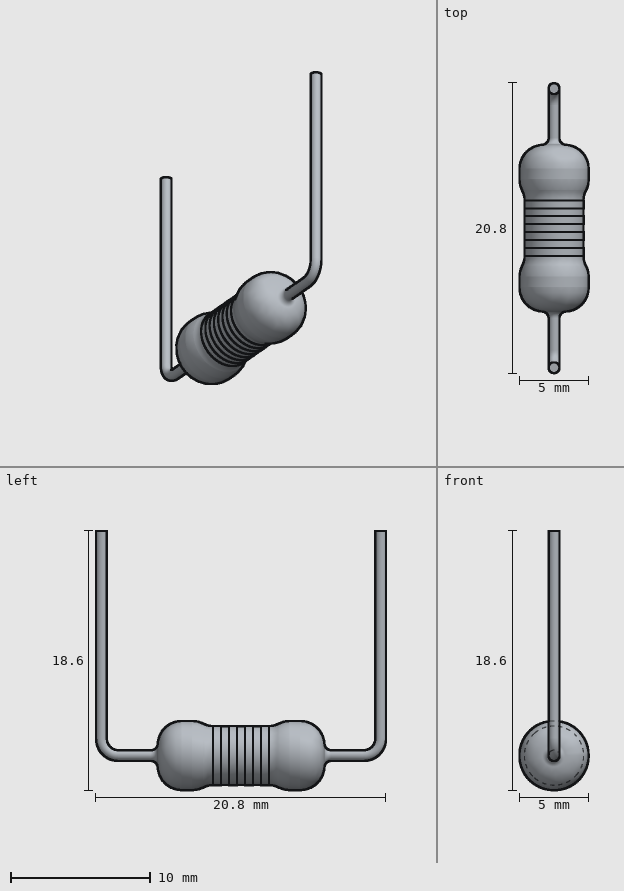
import cadquery as cq
import math

overall_length = 20.8
overall_height = 18.6

cap_radius = 2.5
waist_radius = 2.12
band_radius = 4.26 / 2
dome_radius = 1.75
dome_start = 4.25
shoulder_start = 3.5
shoulder_middle = 2.7

band_count = 4
waist_half_length = 2.0
band_width = 2 * waist_half_length / (2 * band_count - 1)
band_pitch = 2 * band_width
cap_joint = waist_half_length - band_width / 2

lead_radius = 0.4
bend_radius = 1.2
root_fillet = 0.45
lead_y = overall_length / 2 - lead_radius
lead_top = overall_height - cap_radius

dome_center_radius = cap_radius - dome_radius
fillet_center_radius = lead_radius + root_fillet
center_distance = dome_radius + root_fillet
center_rise = fillet_center_radius - dome_center_radius
center_run = math.sqrt(center_distance**2 - center_rise**2)
fillet_end = dome_start + center_run
contact_share = dome_radius / center_distance
contact_radius = dome_center_radius + center_rise * contact_share
contact_y = dome_start + center_run * contact_share

shoulder_share = (shoulder_start - shoulder_middle) / (shoulder_start - waist_half_length)
shoulder_middle_radius = cap_radius - (cap_radius - waist_radius) * shoulder_share


def end_cap():
    """Revolved body end from the waist to the +Y lead root."""
    profile = (
        cq.Workplane("XY")
        .moveTo(0, cap_joint)
        .lineTo(waist_radius, cap_joint)
        .lineTo(waist_radius, waist_half_length)
        .tangentArcPoint((shoulder_middle_radius, shoulder_middle), relative=False)
        .tangentArcPoint((cap_radius, shoulder_start), relative=False)
        .lineTo(cap_radius, dome_start)
        .tangentArcPoint((contact_radius, contact_y), relative=False)
        .tangentArcPoint((lead_radius, fillet_end), relative=False)
        .lineTo(0, fillet_end)
        .close()
    )
    return profile.revolve(360, (0, 0, 0), (0, 1, 0))


def ring(radius, width, middle_y):
    """Solid disc around the body axis, centred at middle_y."""
    return (
        cq.Workplane("XZ", origin=(0, middle_y + width / 2, 0))
        .circle(radius)
        .extrude(width)
    )


def lead():
    """Bent wire leaving the +Y end and turning up."""
    path = (
        cq.Workplane("YZ")
        .moveTo(fillet_end, 0)
        .lineTo(lead_y - bend_radius, 0)
        .tangentArcPoint((lead_y, bend_radius), relative=False)
        .lineTo(lead_y, lead_top)
    )
    section = cq.Workplane("XZ", origin=(0, fillet_end, 0)).circle(lead_radius)
    return section.sweep(path)


end_with_lead = end_cap().union(lead())
waist = ring(waist_radius, 2 * cap_joint, 0)
result = waist.union(end_with_lead).union(end_with_lead.mirror("XZ"))

for index in range(band_count):
    band_y = (index - (band_count - 1) / 2) * band_pitch
    result = result.union(ring(band_radius, band_width, band_y))